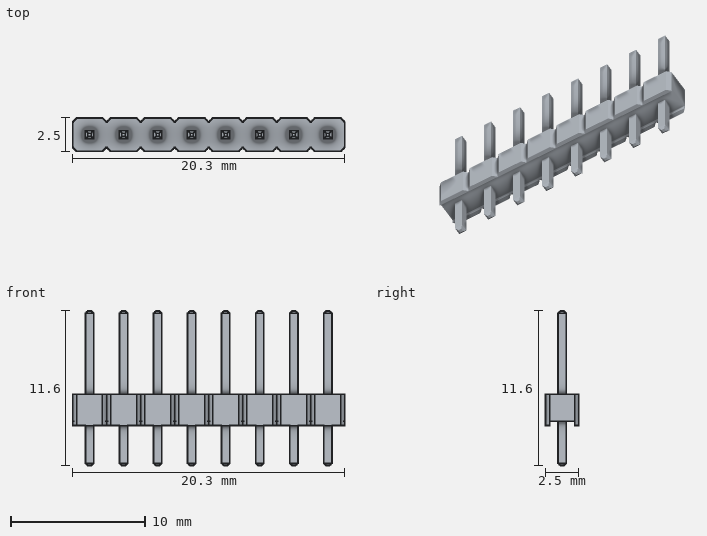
import cadquery as cq

pin_count = 8
strip_length = 20.32
strip_depth = 2.5
strip_height = 2.34
pitch = strip_length / pin_count

corner_chamfer = 0.3
lip_thickness = 0.33
channel_width = strip_depth - 2 * lip_thickness
channel_depth = 0.3

pin_width = 0.63
pin_above = 6.22
pin_below = 2.99
tip_height = 0.18
tip_flat = 0.25


def make_cell():
    """One strip cell with chamfered vertical edges, its underside at Z = 0."""
    block = cq.Workplane("XY").box(pitch, strip_depth, strip_height, centered=(True, True, False))
    return block.edges("|Z").chamfer(corner_chamfer)


def make_tip(base_z, top_z):
    """Truncated pyramid from the full pin section to the small end face."""
    return (
        cq.Workplane("XY", origin=(0, 0, base_z))
        .rect(pin_width, pin_width)
        .workplane(offset=top_z - base_z)
        .rect(tip_flat, tip_flat)
        .loft(ruled=True)
    )


def make_pin():
    """Square pin through the strip, tapered at both ends."""
    bottom = -pin_below
    top = strip_height + pin_above
    shaft_bottom = bottom + tip_height
    shaft_top = top - tip_height
    shaft = (
        cq.Workplane("XY", origin=(0, 0, shaft_bottom))
        .rect(pin_width, pin_width)
        .extrude(shaft_top - shaft_bottom)
    )
    return shaft.union(make_tip(shaft_top, top)).union(make_tip(shaft_bottom, bottom))


cell_centres = [(i - (pin_count - 1) / 2) * pitch for i in range(pin_count)]

cell = make_cell()
strip = cell.translate((cell_centres[0], 0, 0))
for x in cell_centres[1:]:
    strip = strip.union(cell.translate((x, 0, 0)))

channel = cq.Workplane("XY").box(strip_length, channel_width, channel_depth, centered=(True, True, False))
strip = strip.cut(channel)

pin = make_pin()
result = strip
for x in cell_centres:
    result = result.union(pin.translate((x, 0, 0)))